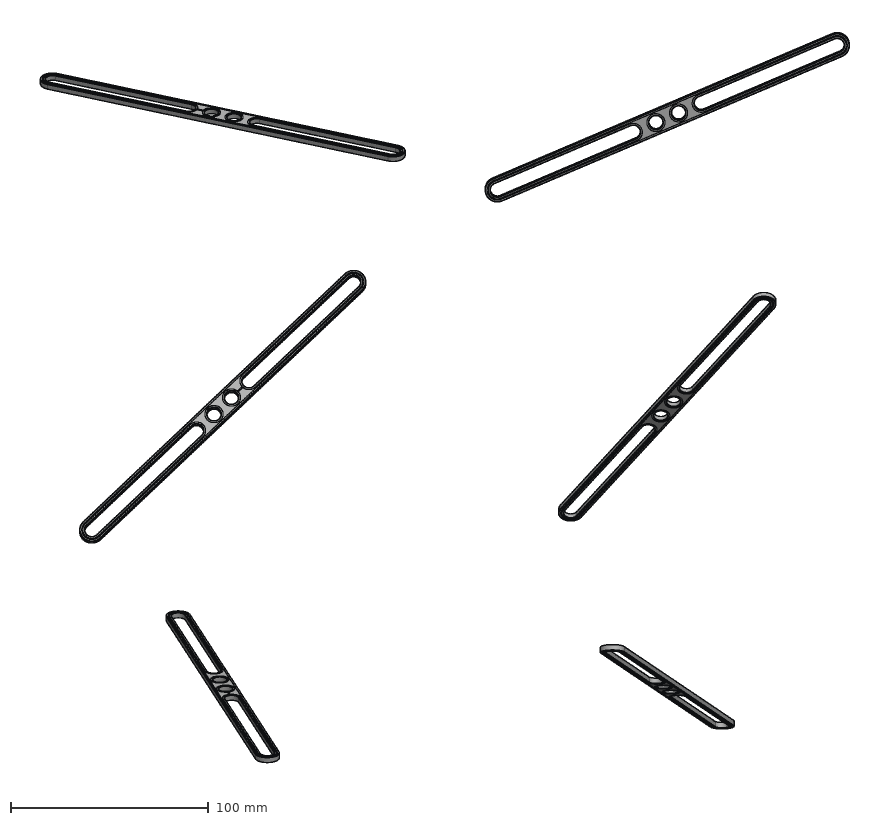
import cadquery as cq

LENGTH = 200.0
UNITS_LONG = 16
UNIT = LENGTH / UNITS_LONG
WIDTH = UNIT
THICKNESS = UNIT / 4

HOLE_DIAMETER = 7.0
HOLE_X = UNIT / 2
SLOT_INNER_X = HOLE_X + UNIT
SLOT_OUTER_X = (LENGTH - UNIT) / 2

EDGE_CHAMFER = 0.3
RIM_DIAMETER = 9.2
RIM_WIDTH = (RIM_DIAMETER - HOLE_DIAMETER) / 2
WEB_RECESS = 0.2

RIB_WIDTH = 0.5
RIB_LENGTH = UNIT - RIM_DIAMETER
RIB_X = -UNIT

OPENINGS = (
    (-SLOT_OUTER_X, -SLOT_INNER_X),
    (-HOLE_X, -HOLE_X),
    (HOLE_X, HOLE_X),
    (SLOT_INNER_X, SLOT_OUTER_X),
)


def rounded_bar(start_x, end_x, diameter, height):
    """Bar with round ends centred on start_x and end_x, or a disc where the two coincide."""
    center_distance = end_x - start_x
    outline = cq.Workplane("XY").center((start_x + end_x) / 2, 0)
    if center_distance > 0:
        outline = outline.slot2D(center_distance + diameter, diameter)
    else:
        outline = outline.circle(diameter / 2)
    return outline.extrude(height)


def brace_plate(inset, height):
    """Plate with all openings, every wall moved into the material by inset."""
    plate = rounded_bar(-SLOT_OUTER_X, SLOT_OUTER_X, WIDTH - 2 * inset, height)
    for start_x, end_x in OPENINGS:
        plate = plate.cut(rounded_bar(start_x, end_x, HOLE_DIAMETER + 2 * inset, height))
    return plate


def recess_webs(brace):
    """Lower the webs between the openings on both faces, leaving raised rims along all walls."""
    webs = brace_plate(RIM_WIDTH, WEB_RECESS)
    for bottom in (0, THICKNESS - WEB_RECESS):
        brace = brace.cut(webs.translate((0, 0, bottom)))
    return brace


def web_rib():
    """Rib level with the rims, on the recessed top of the web beside the -X slot."""
    return (
        cq.Workplane("XY", origin=(RIB_X, 0, THICKNESS - WEB_RECESS))
        .rect(RIB_LENGTH, RIB_WIDTH)
        .extrude(WEB_RECESS)
    )


brace = brace_plate(0, THICKNESS).faces("<Z or >Z").chamfer(EDGE_CHAMFER)
brace = recess_webs(brace)
result = brace.union(web_rib())